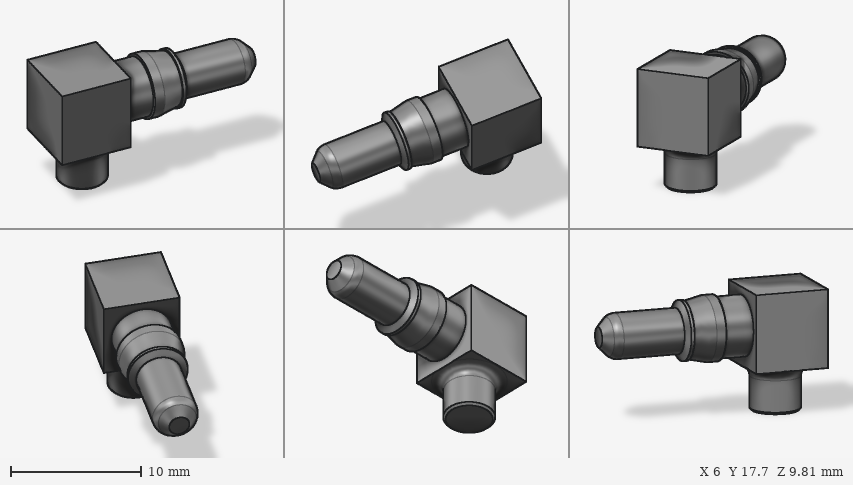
import cadquery as cq
import math

block_width = 6.0
block_depth = 5.9
block_height = 6.2
block_top = block_width / 2
block_bottom = block_top - block_height

total_length = 17.7
pin_radius = 3.6 / 2
nose_radius = 1.0
nose_angle = math.radians(45)
nose_cone_length = 0.7
collar_radius = 4.75 / 2
collar_cone_start = 6.39
collar_start = 6.73
collar_end = 7.01
barb_small_radius = 2.23
barb_large_radius = 5.2 / 2
barb_cone_end = 8.7
barb_end = 9.52
relief_radius = 4.0 / 2
relief_width = 0.05
neck_radius = 4.8 / 2

stem_radius = 4.0 / 2
stem_length = 3.61
stem_axis_y = 3.2
stem_fillet = 0.9
stem_chamfer = 0.2


def make_block():
    return cq.Workplane("XY").box(
        block_width, block_depth, block_height, centered=(True, False, False)
    ).translate((0, 0, block_bottom))


def make_pin():
    """Revolve the stepped pin, with its rounded nose, barbed collar and thin relief groove, about Y."""
    nose_end = nose_cone_length + nose_radius * math.sin(nose_angle)
    cone_radius = pin_radius - nose_radius * (1 - math.cos(nose_angle))
    tip_radius = cone_radius - nose_cone_length * math.tan(nose_angle)
    half_angle = nose_angle / 2
    arc_middle = (
        pin_radius - nose_radius * (1 - math.cos(half_angle)),
        total_length - nose_end + nose_radius * math.sin(half_angle),
    )
    profile = (
        cq.Workplane("XY")
        .moveTo(0, total_length)
        .lineTo(tip_radius, total_length)
        .lineTo(cone_radius, total_length - nose_cone_length)
        .threePointArc(arc_middle, (pin_radius, total_length - nose_end))
        .lineTo(pin_radius, total_length - collar_cone_start)
        .lineTo(collar_radius, total_length - collar_start)
        .lineTo(collar_radius, total_length - collar_end)
        .lineTo(barb_small_radius, total_length - collar_end)
        .lineTo(barb_large_radius, total_length - barb_cone_end)
        .lineTo(barb_large_radius, total_length - barb_end)
        .lineTo(relief_radius, total_length - barb_end)
        .lineTo(relief_radius, total_length - barb_end - relief_width)
        .lineTo(neck_radius, total_length - barb_end - relief_width)
        .lineTo(neck_radius, block_depth)
        .lineTo(0, block_depth)
        .close()
    )
    return profile.revolve(360, (0, 0, 0), (0, 1, 0))


def make_stem():
    """Revolve the stem with its concave root, trimmed to the block's footprint."""
    stem_bottom = block_bottom - stem_length
    root_radius = stem_radius + stem_fillet
    arc_offset = stem_fillet * (1 - math.sqrt(0.5))
    profile = (
        cq.Workplane("XZ")
        .moveTo(0, block_bottom)
        .lineTo(root_radius, block_bottom)
        .threePointArc(
            (stem_radius + arc_offset, block_bottom - arc_offset),
            (stem_radius, block_bottom - stem_fillet),
        )
        .lineTo(stem_radius, stem_bottom + stem_chamfer)
        .lineTo(stem_radius - stem_chamfer, stem_bottom)
        .lineTo(0, stem_bottom)
        .close()
    )
    stem = profile.revolve(360, (0, 0, 0), (0, 1, 0)).translate((0, stem_axis_y, 0))
    footprint = cq.Workplane("XY").box(
        block_width, block_depth, stem_length, centered=(True, False, False)
    ).translate((0, 0, stem_bottom))
    return stem.intersect(footprint)


result = make_block().union(make_pin()).union(make_stem())